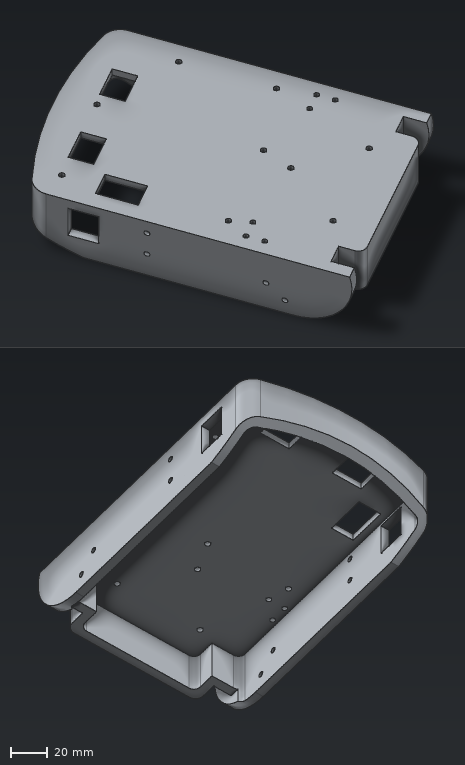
import cadquery as cq
import math

LENGTH = 200.0
WIDTH = 130.0
HEIGHT = 44.0
HALF_WIDTH = WIDTH / 2

WALL = 5.5
TOP_THICKNESS = 5.0

FRONT_RADIUS = 190.0
FRONT_CORNER_RADIUS = 12.0

FRONT_EDGE_HEIGHT = 24.5
FRONT_RISE_LENGTH = 42.0
FRONT_RISE_SAG = 2.0
REAR_RADIUS = 34.5

SLOT_LENGTH = 15.0
SLOT_WIDTH = 12.0
ARM_THICKNESS = 7.5
TAIL_HALF_WIDTH = HALF_WIDTH - ARM_THICKNESS - SLOT_WIDTH
TAIL_HEIGHT = 31.5
TAIL_CORNER_RADIUS = 5.5
CAVITY_CORNER_RADIUS = 4.5

SCREW_DIAMETER = 3.4
PILOT_DIAMETER = 3.1
BOARD_CENTER = (72.3, -20.75)
BOARD_SPACING = (98.0, 56.0)
MOUNT_SPACING = 57.5
SIDE_MOUNT_CENTER = (83.3, 52.8)
REAR_MOUNT_X = 175.5
CENTER_HOLE_X = 140.0
CORNER_TRIO_X = 134.4
CORNER_TRIO_Y = 56.1
CORNER_TRIO_PITCH = 11.0

SENSOR_WINDOW = (15.0, 20.0)
SENSOR_WINDOW_CENTER = (29.5, 25.0)
PORT_WINDOW = (25.0, 15.0)
PORT_WINDOW_CENTER = (58.0, -47.5)

SIDE_WINDOW = (18.0, 22.0)
SIDE_WINDOW_CENTER = (42.0, -18.0)
SIDE_HOLES = [(79.4, -9.6), (79.4, -26.6), (149.4, -23.6), (160.6, -33.6)]


def front_arc_x(y, inset):
    """X of the front arc at a given Y, for an outline moved inward by inset."""
    radius = FRONT_RADIUS - inset
    return FRONT_RADIUS - math.sqrt(radius**2 - y**2)


def plan_prism(inset, rear_x, height):
    """Cover outline moved inward by inset, cut square at rear_x and extruded down."""
    half = HALF_WIDTH - inset
    corner_x = front_arc_x(half, inset)
    prism = (
        cq.Workplane("XY")
        .moveTo(rear_x, -half)
        .lineTo(corner_x, -half)
        .threePointArc((inset, 0), (corner_x, half))
        .lineTo(rear_x, half)
        .close()
        .extrude(-height)
    )
    return prism.edges("|Z and (not >X)").fillet(FRONT_CORNER_RADIUS - inset)


def side_profile():
    """Prism across the width that shapes the cover's front rise and rounded rear end."""
    rise = HEIGHT - FRONT_EDGE_HEIGHT
    chord = math.hypot(FRONT_RISE_LENGTH, rise)
    rise_middle = (
        FRONT_RISE_LENGTH / 2 - FRONT_RISE_SAG * rise / chord,
        -(FRONT_EDGE_HEIGHT + HEIGHT) / 2 - FRONT_RISE_SAG * FRONT_RISE_LENGTH / chord,
    )
    rear_x = LENGTH - REAR_RADIUS
    rear_z = REAR_RADIUS - HEIGHT
    rear_top_x = rear_x + math.sqrt(REAR_RADIUS**2 - rear_z**2)
    return (
        cq.Workplane("XZ", origin=(0, HALF_WIDTH, 0))
        .moveTo(0, 0)
        .lineTo(0, -FRONT_EDGE_HEIGHT)
        .threePointArc(rise_middle, (FRONT_RISE_LENGTH, -HEIGHT))
        .lineTo(rear_x, -HEIGHT)
        .threePointArc((LENGTH, rear_z), (rear_top_x, 0))
        .close()
        .extrude(WIDTH)
    )


def block(x_start, x_end, half_width, z_top, z_bottom):
    """Box centred on Y."""
    return (
        cq.Workplane("XY", origin=(0, 0, z_top))
        .moveTo((x_start + x_end) / 2, 0)
        .rect(x_end - x_start, 2 * half_width)
        .extrude(z_bottom - z_top)
    )


def shell():
    """Side arms, top plate and tail, hollowed from below."""
    slot_x = LENGTH - SLOT_LENGTH
    cavity_rear_x = slot_x - WALL
    arm_inside = HALF_WIDTH - ARM_THICKNESS

    outer = plan_prism(0, LENGTH, HEIGHT).intersect(side_profile())
    outer = outer.cut(block(slot_x, LENGTH, arm_inside, 0, -HEIGHT))
    clear_from_x = cavity_rear_x - CAVITY_CORNER_RADIUS
    outer = outer.cut(block(clear_from_x, LENGTH, arm_inside, -TAIL_HEIGHT, -HEIGHT))

    tail = block(slot_x, LENGTH, TAIL_HALF_WIDTH, 0, -TAIL_HEIGHT)
    outer = outer.union(tail.edges("|Z and >X").fillet(TAIL_CORNER_RADIUS))

    cavity = plan_prism(WALL, cavity_rear_x, HEIGHT).edges("|Z and >X").fillet(CAVITY_CORNER_RADIUS)
    tail_cavity = block(LENGTH / 2, LENGTH - WALL, TAIL_HALF_WIDTH - WALL, 0, -HEIGHT)
    tail_cavity = tail_cavity.edges("|Z and >X").fillet(CAVITY_CORNER_RADIUS)
    below_top_plate = block(0, LENGTH, HALF_WIDTH, -TOP_THICKNESS, -HEIGHT)
    return outer.cut(cavity.union(tail_cavity).intersect(below_top_plate))


def top_cutter(points, diameter):
    """Cylinders through the top plate at the given points."""
    return cq.Workplane("XY").pushPoints(points).circle(diameter / 2).extrude(-TOP_THICKNESS)


def cut_top_holes(body):
    """Screw holes and pilot holes through the top plate."""
    side_x, side_y = SIDE_MOUNT_CENTER
    half_mount = MOUNT_SPACING / 2
    screws = [(CENTER_HOLE_X, 0)]
    pilots = []
    for side in (-1, 1):
        screws.append((side_x + side * half_mount, side_y))
        screws.append((REAR_MOUNT_X, side * half_mount))
        for end in (-1, 1):
            board_x = BOARD_CENTER[0] + end * BOARD_SPACING[0] / 2
            board_y = BOARD_CENTER[1] + side * BOARD_SPACING[1] / 2
            screws.append((board_x, board_y))
        pilots.append((CORNER_TRIO_X, side * CORNER_TRIO_Y))
        pilots.append((CORNER_TRIO_X + CORNER_TRIO_PITCH, side * CORNER_TRIO_Y))
        pilots.append((CORNER_TRIO_X, side * (CORNER_TRIO_Y - CORNER_TRIO_PITCH)))
    body = body.cut(top_cutter(screws, SCREW_DIAMETER))
    return body.cut(top_cutter(pilots, PILOT_DIAMETER))


def cut_top_windows(body):
    """Two mirrored sensor windows and one port window in the top plate."""
    sensor_x, sensor_y = SENSOR_WINDOW_CENTER
    sensors = cq.Workplane("XY").pushPoints([(sensor_x, -sensor_y), (sensor_x, sensor_y)])
    body = body.cut(sensors.rect(*SENSOR_WINDOW).extrude(-TOP_THICKNESS))
    port = cq.Workplane("XY").center(*PORT_WINDOW_CENTER).rect(*PORT_WINDOW)
    return body.cut(port.extrude(-TOP_THICKNESS))


def cut_side_openings(body):
    """Window and screw holes running across the full width, through both side walls."""
    across = cq.Workplane("XZ", origin=(0, HALF_WIDTH, 0))
    window = across.center(*SIDE_WINDOW_CENTER).rect(*SIDE_WINDOW).extrude(WIDTH)
    across = cq.Workplane("XZ", origin=(0, HALF_WIDTH, 0))
    holes = across.pushPoints(SIDE_HOLES).circle(SCREW_DIAMETER / 2).extrude(WIDTH)
    return body.cut(window).cut(holes)


result = cut_side_openings(cut_top_windows(cut_top_holes(shell())))